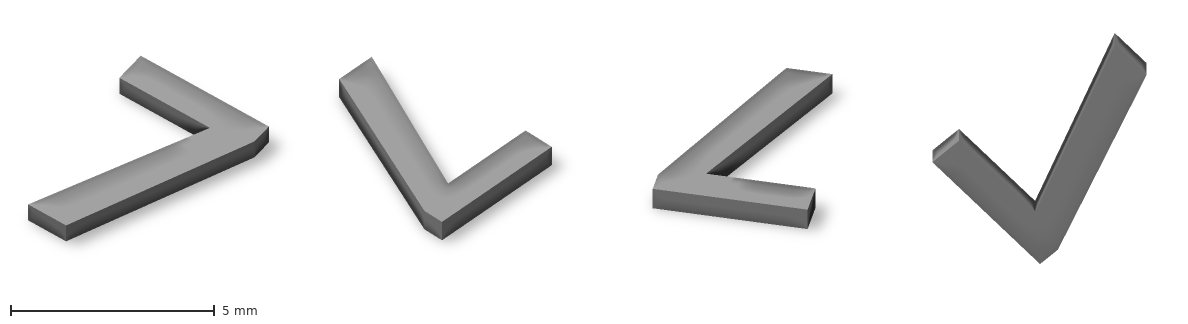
import cadquery as cq

width = 3.9
height = 5.53
thickness = 0.6

bar_height = 0.89
bar_underside_length = 2.755
right_edge_height = 0.6

foot_left = 0.615
foot_width = 1.155

outline = [
    (0, height),
    (width, height),
    (width, height - right_edge_height),
    (foot_left + foot_width, 0),
    (foot_left, 0),
    (bar_underside_length, height - bar_height),
    (0, height - bar_height),
]

result = cq.Workplane("XY").polyline(outline).close().extrude(thickness)